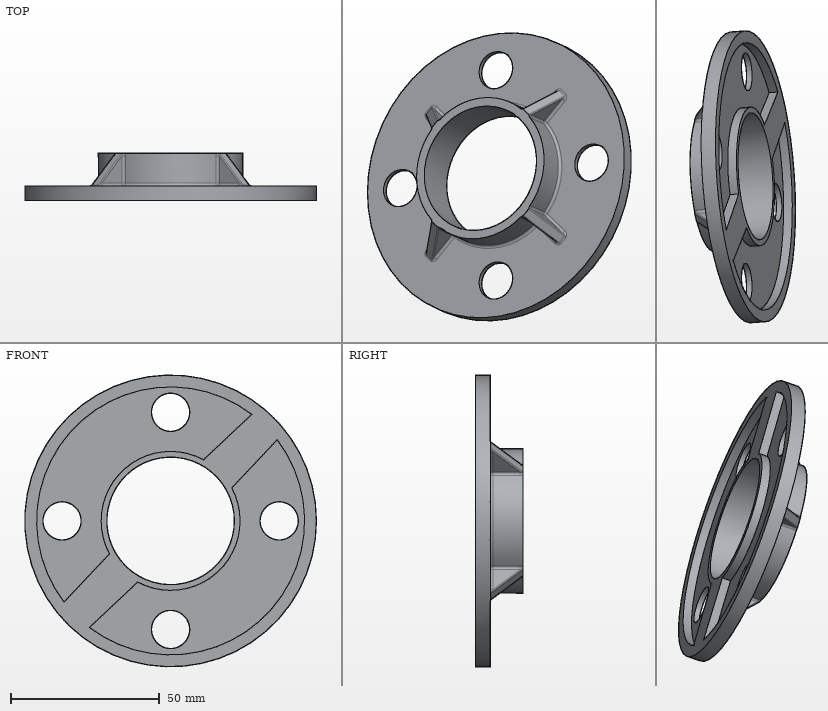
import cadquery as cq

FLANGE_DIAMETER = 98.0
FLANGE_THICKNESS = 5.0
TOTAL_DEPTH = 16.0

HUB_DIAMETER = 48.6
BORE_DIAMETER = 42.7

HOLE_COUNT = 4
HOLE_DIAMETER = 12.7
BOLT_CIRCLE_DIAMETER = 72.9

RECESS_DEPTH = 3.0
RECESS_OUTER_DIAMETER = 90.0
RECESS_INNER_DIAMETER = 46.6
BAR_WIDTH_AT_BORE = 13.3
BAR_WIDTH_AT_RIM = 12.1
BAR_ANGLE = 45.0

RIB_COUNT = 4
RIB_START_ANGLE = 45.0
RIB_THICKNESS = 3.7
RIB_FOOT_RADIUS = 36.1
RIB_TOP_LEDGE = 0.3
RIB_EDGE_FILLET = 0.4
ROOT_FILLET = 0.9

HUB_RADIUS = HUB_DIAMETER / 2
BORE_RADIUS = BORE_DIAMETER / 2


def disc(diameter, start, end):
    """Cylinder along Y between two Y positions."""
    profile = cq.Workplane("XZ", origin=(0, start, 0)).circle(diameter / 2)
    return profile.extrude(start - end)


def turned(body, angle):
    """Body turned about Y so that +X moves towards +Z."""
    return body.rotate((0, 0, 0), (0, 1, 0), -angle)


def make_rib():
    """Rib along +X, sloping from the hub's back face down to the flange."""
    return (
        cq.Workplane("XY")
        .moveTo(BORE_RADIUS, FLANGE_THICKNESS / 2)
        .lineTo(RIB_FOOT_RADIUS, FLANGE_THICKNESS / 2)
        .lineTo(RIB_FOOT_RADIUS, FLANGE_THICKNESS)
        .lineTo(HUB_RADIUS + RIB_TOP_LEDGE, TOTAL_DEPTH)
        .lineTo(BORE_RADIUS, TOTAL_DEPTH)
        .close()
        .extrude(RIB_THICKNESS / 2, both=True)
        .edges("not(|X or |Y or |Z)")
        .fillet(RIB_EDGE_FILLET)
    )


def make_recess():
    """Both halves of the front recess, with the bar between them left standing."""
    ring = disc(RECESS_OUTER_DIAMETER, 0, RECESS_DEPTH)
    ring = ring.cut(disc(RECESS_INNER_DIAMETER, 0, RECESS_DEPTH))
    inner = RECESS_INNER_DIAMETER / 2
    outer = RECESS_OUTER_DIAMETER / 2
    taper = (BAR_WIDTH_AT_BORE - BAR_WIDTH_AT_RIM) / (outer - inner)
    centre_half = (BAR_WIDTH_AT_BORE + taper * inner) / 2
    end_half = BAR_WIDTH_AT_RIM / 2
    bar = (
        cq.Workplane("XZ")
        .polyline([
            (-outer, -end_half),
            (0, -centre_half),
            (outer, -end_half),
            (outer, end_half),
            (0, centre_half),
            (-outer, end_half),
        ])
        .close()
        .extrude(-RECESS_DEPTH)
    )
    return ring.cut(turned(bar, BAR_ANGLE))


hub = disc(HUB_DIAMETER, 0, TOTAL_DEPTH)
result = disc(FLANGE_DIAMETER, 0, FLANGE_THICKNESS).union(hub)
rib = make_rib()
for index in range(RIB_COUNT):
    result = result.union(turned(rib, RIB_START_ANGLE + index * 360 / RIB_COUNT))

corner_reach = HUB_RADIUS - ROOT_FILLET
corner_box = cq.selectors.BoxSelector(
    (-corner_reach, FLANGE_THICKNESS, -corner_reach),
    (corner_reach, TOTAL_DEPTH, corner_reach),
)
rib_corners = result.edges("|Y").edges(corner_box).vals()
flange_back = result.faces(">Y[-2]").val()
foot_outline = flange_back.innerWires()[0].Edges()
result = result.newObject(rib_corners + foot_outline).fillet(ROOT_FILLET)

result = result.cut(disc(BORE_DIAMETER, 0, TOTAL_DEPTH))
result = result.cut(make_recess())
for index in range(HOLE_COUNT):
    hole = disc(HOLE_DIAMETER, 0, FLANGE_THICKNESS).translate((BOLT_CIRCLE_DIAMETER / 2, 0, 0))
    result = result.cut(turned(hole, index * 360 / HOLE_COUNT))